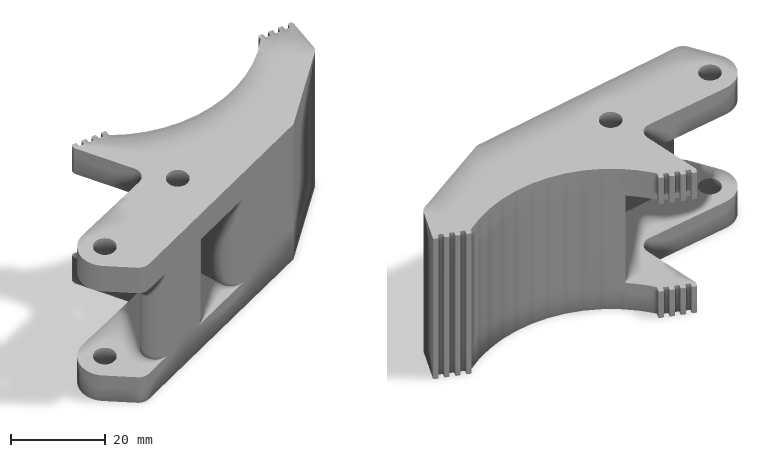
import cadquery as cq
import math


total_length = 83.8
total_height = 40.0
plate_thickness = 7.55
gap_height = total_height - 2 * plate_thickness

hole_diameter = 5.0
hole_spacing = 25.7
lug_radius = 5.9
lug_slope = math.radians(32.5)

back_top = (9.8, 53.5)
back_lean = math.radians(0.9)
back_bottom_radius = 2.8

grip_middle = (-6.6, 53.4)
tooth_strip_length = 8.4
tooth_depth = 1.2
lower_root_depth = 1.5
tooth_count = 4
tooth_width = tooth_strip_length / (2 * tooth_count - 1)
tooth_corner_radius = 0.25
tooth_line_angle = math.radians(67)
tip_loss = tooth_corner_radius * (math.sin(tooth_line_angle) + math.cos(tooth_line_angle) - 1)
upper_teeth_start = (-8.9, total_length - lug_radius + tip_loss)
lower_teeth_start = (-20.8, 28.1)

tip_corner = (0.0, 74.4)
tip_radius = 1.9
inner_corner_height = 23.2
inner_corner_radius = 2.7

body_end = 32.2
body_corner_radius = 3.4
bar_bottom = 4.95
bar_top = 22.3
bar_width = 6.6


def back_edge_x(y):
    """X of the straight back edge at a given y."""
    return back_top[0] + (back_top[1] - y) * math.tan(back_lean)


def tooth_strip(start, first_root_depth):
    """Points of a toothed strip from its upper to its lower root; gaps match the teeth."""
    along = (-math.cos(tooth_line_angle), -math.sin(tooth_line_angle))
    inward = (math.sin(tooth_line_angle), -math.cos(tooth_line_angle))

    def point(distance, depth):
        return (
            start[0] + distance * along[0] + depth * inward[0],
            start[1] + distance * along[1] + depth * inward[1],
        )

    points = []
    for tooth in range(tooth_count):
        top = 2 * tooth * tooth_width
        bottom = top + tooth_width
        points += [
            point(top, tooth_depth if tooth else first_root_depth),
            point(top, 0),
            point(bottom, 0),
            point(bottom, tooth_depth),
        ]
    return points


def fillet_corner(solid, corner, radius):
    """Round the vertical edges that stand at one corner of the profile."""
    reach = 0.1
    x, y = corner
    box = cq.selectors.BoxSelector(
        (x - reach, y - reach, -total_height),
        (x + reach, y + reach, total_height),
    )
    return solid.edges("|Z").edges(box).fillet(radius)


def make_profile_block():
    """Full-height block with the outline of the jaw and its rounded corners."""
    upper_teeth = tooth_strip(upper_teeth_start, 0)[1:]
    lower_teeth = tooth_strip(lower_teeth_start, lower_root_depth)
    inner_corner = (-lug_radius, inner_corner_height)

    def lower_edge_y(x):
        return x * math.tan(lug_slope) - lug_radius / math.cos(lug_slope)

    lug_corner = (-lug_radius, lower_edge_y(-lug_radius))
    back_base_x = back_edge_x(0)
    back_corner_y = lower_edge_y(back_base_x) / (1 + math.tan(lug_slope) * math.tan(back_lean))
    back_corner = (back_edge_x(back_corner_y), back_corner_y)

    block = (
        cq.Workplane("XY", origin=(0, 0, -total_height / 2))
        .polyline(upper_teeth)
        .threePointArc(grip_middle, lower_teeth[0])
        .polyline(lower_teeth[1:], includeCurrent=True)
        .lineTo(*inner_corner)
        .lineTo(*lug_corner)
        .lineTo(*back_corner)
        .lineTo(*back_top)
        .lineTo(*tip_corner)
        .close()
        .extrude(total_height)
    )
    for corner in upper_teeth[:-1] + lower_teeth[1:-1]:
        block = fillet_corner(block, corner, tooth_corner_radius)
    block = fillet_corner(block, lug_corner, lug_radius)
    block = fillet_corner(block, back_corner, back_bottom_radius)
    block = fillet_corner(block, inner_corner, inner_corner_radius)
    return fillet_corner(block, tip_corner, tip_radius)


def cut_gap(block):
    """Separate the two plates below the solid body and round the body's back corner."""
    gap = (
        cq.Workplane("XY")
        .box(total_length, total_length, gap_height)
        .translate((0, body_end - total_length / 2, 0))
    )
    body_corner = (back_edge_x(body_end), body_end)
    return fillet_corner(block.cut(gap), body_corner, body_corner_radius)


def make_bar():
    """Round-ended bar between the plates, flush with the back edge."""
    bar_middle = (bar_bottom + bar_top) / 2
    lean_degrees = math.degrees(back_lean)
    center_x = back_edge_x(bar_middle) - bar_width / 2 / math.cos(back_lean)
    return (
        cq.Workplane("XY", origin=(center_x, bar_middle, -gap_height / 2))
        .slot2D(bar_top - bar_bottom, bar_width, 90 + lean_degrees)
        .extrude(gap_height)
    )


def make_pivot_holes():
    """Cylinders that cut both pivot holes through the two plates."""
    return (
        cq.Workplane("XY", origin=(0, 0, -total_height / 2))
        .pushPoints([(0, 0), (0, hole_spacing)])
        .circle(hole_diameter / 2)
        .extrude(total_height)
    )


result = cut_gap(make_profile_block()).union(make_bar()).cut(make_pivot_holes())